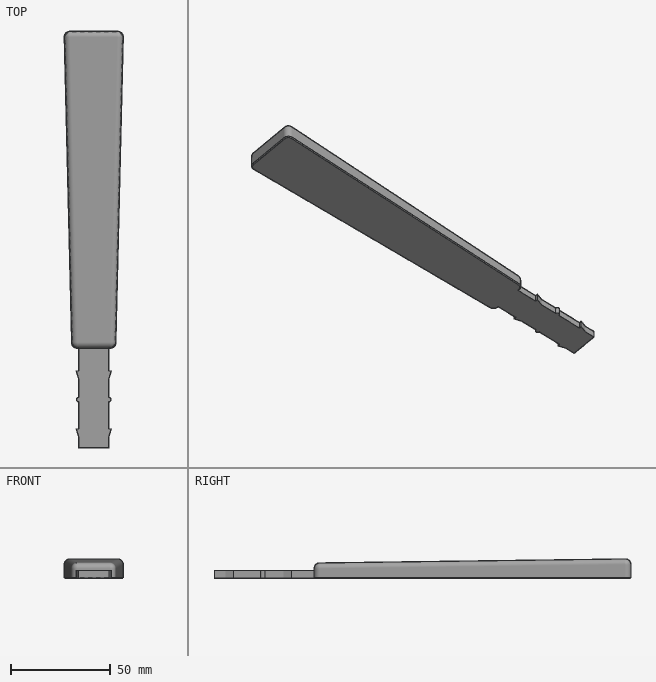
import cadquery as cq

total_length = 210.0
tang_length = 50.2
body_front = tang_length
body_back = total_length

back_width = 30.0
front_width = 22.3
back_height = 9.9
front_height = 7.8
edge_radius = 3.0
underside_chamfer = 0.5

tang_width = 15.3
tang_thickness = 4.0
tang_overlap = 10.5

barb_starts = (5.7, 34.9)
barb_length = 4.0
barb_height = 1.3

bump_center = 24.4
bump_length = 2.3
bump_height = 1.0


def make_body():
    """Wedge that widens and thickens towards the back, rounded above and chamfered below."""
    outline = [
        (-front_width / 2, body_front),
        (front_width / 2, body_front),
        (back_width / 2, body_back),
        (-back_width / 2, body_back),
    ]
    side_profile = [
        (body_front, 0),
        (body_back, 0),
        (body_back, back_height),
        (body_front, front_height),
    ]
    plan = cq.Workplane("XY").polyline(outline).close().extrude(back_height)
    wedge = cq.Workplane("YZ").polyline(side_profile).close().extrude(back_width / 2, both=True)
    rounded = plan.intersect(wedge).edges("not <Z").fillet(edge_radius)
    return rounded.faces("<Z").edges().chamfer(underside_chamfer)


def make_tang():
    """Flat strip with a square end."""
    return cq.Workplane("XY").box(
        tang_width, tang_length + tang_overlap, tang_thickness, centered=(True, False, False)
    )


def make_barb(start):
    """Tooth on the +X edge: a ramp from the tip side, then a square shoulder."""
    edge = tang_width / 2
    shoulder = start + barb_length
    return (
        cq.Workplane("XY")
        .moveTo(0, start)
        .lineTo(edge, start)
        .lineTo(edge + barb_height, shoulder)
        .lineTo(0, shoulder)
        .close()
        .extrude(tang_thickness)
    )


def make_bump():
    """Rounded tooth on the +X edge."""
    edge = tang_width / 2
    start = bump_center - bump_length / 2
    end = bump_center + bump_length / 2
    return (
        cq.Workplane("XY")
        .moveTo(0, start)
        .lineTo(edge, start)
        .threePointArc((edge + bump_height, bump_center), (edge, end))
        .lineTo(0, end)
        .close()
        .extrude(tang_thickness)
    )


teeth = [make_barb(start) for start in barb_starts] + [make_bump()]

result = make_body().union(make_tang())
for tooth in teeth:
    result = result.union(tooth).union(tooth.mirror("YZ"))

result = result.translate((0, -total_length / 2, 0))